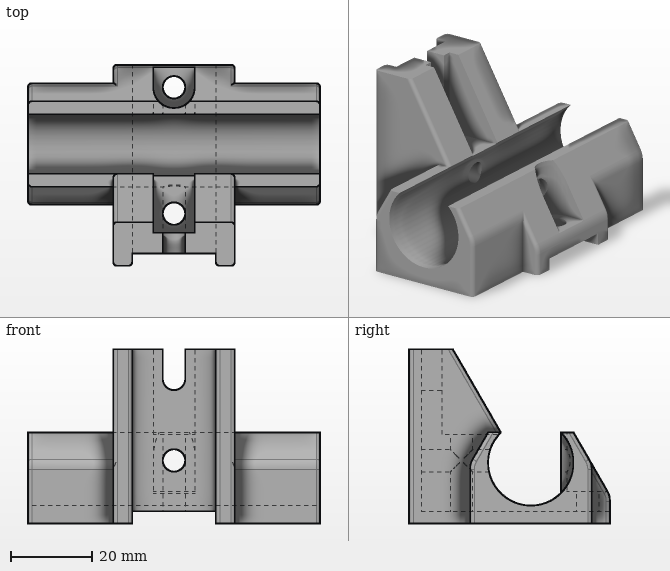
import cadquery as cq
import math

length = 72.0
front_y = -30.0
boss_back_y = 19.5
tower_width = 30.0
tower_top_z = 43.0
cradle_half_depth = 15.0
cradle_top_z = 22.5
shoulder_y = 10.5
slope = math.tan(math.radians(60))
corner_radius = 5.0
edge_radius = 1.0

bore_radius = 10.5
bore_z = 15.0
bore_lip_y = math.sqrt(bore_radius**2 - (cradle_top_z - bore_z)**2)

channel_width = 20.5
channel_depth = 3.0

hole_diameter = 5.5
cross_hole_z = 15.55
slot_center_z = 35.65
back_hole_y = 14.0
front_hole_y = -17.1

seat_width = 10.2
back_seat_z = 8.0
front_seat_z = 22.0
front_seat_y = -21.9


def extrude_along_x(points, width):
    """Extrude a (Y, Z) outline symmetrically about X = 0."""
    return cq.Workplane("YZ").polyline(points).close().extrude(width / 2, both=True)


def sloped_block(start_y, wall_y, width):
    """Block from start_y to wall_y, with the rear top corner cut to the common slope."""
    wall_top_z = cradle_top_z - (wall_y - shoulder_y) * slope
    block = extrude_along_x(
        [(start_y, 0), (wall_y, 0), (wall_y, wall_top_z), (shoulder_y, cradle_top_z), (start_y, cradle_top_z)],
        width,
    )
    wall_edge = cq.selectors.NearestToPointSelector((0, wall_y, wall_top_z))
    return block.edges("|X").edges(wall_edge).fillet(corner_radius)


def round_ends(block):
    """Round the vertical and sloping edges of the end faces, leaving top and bottom sharp."""
    return block.faces("<X or >X").edges("not |Y").fillet(edge_radius)


def box_between(x_size, y_range, z_range):
    """Box centred on X = 0 spanning the given Y and Z ranges."""
    return cq.Workplane("XY").box(
        x_size, y_range[1] - y_range[0], z_range[1] - z_range[0], centered=(True, False, False)
    ).translate((0, y_range[0], z_range[0]))


def hole_along_y(z):
    """Round cutter running the full depth of the part."""
    return (
        cq.Workplane("XZ", origin=(0, boss_back_y, z))
        .circle(hole_diameter / 2)
        .extrude(boss_back_y - front_y)
    )


def hole_along_z(y, diameter, bottom_z=0):
    """Round cutter from bottom_z to the top of the part."""
    return (
        cq.Workplane("XY", origin=(0, y, bottom_z))
        .circle(diameter / 2)
        .extrude(tower_top_z - bottom_z)
    )


cradle_half = sloped_block(0, cradle_half_depth, length)
cradle = round_ends(cradle_half.union(cradle_half.mirror("XZ")).clean())

boss = round_ends(sloped_block(0, boss_back_y, tower_width))

tower_top_y = -bore_lip_y - (tower_top_z - cradle_top_z) / slope
tower = round_ends(
    extrude_along_x(
        [
            (front_y, 0),
            (front_y, tower_top_z),
            (tower_top_y, tower_top_z),
            (-bore_lip_y, cradle_top_z),
            (-bore_lip_y, 0),
        ],
        tower_width,
    )
)

face_channel = box_between(channel_width, (front_y, front_y + channel_depth), (0, tower_top_z))
tower = tower.cut(face_channel)
for side in (-1, 1):
    lip_corner = (side * channel_width / 2, front_y, tower_top_z / 2)
    lip_edge = cq.selectors.NearestToPointSelector(lip_corner)
    tower = tower.edges("|Z").edges(lip_edge).fillet(edge_radius)
under_channel = box_between(channel_width, (front_y, boss_back_y), (0, channel_depth))

bore = cq.Workplane("YZ").center(0, bore_z).circle(bore_radius).extrude(length / 2, both=True)
bore_mouth = box_between(length, (-bore_lip_y, bore_lip_y), (bore_z, cradle_top_z))
pad = box_between(seat_width, (bore_lip_y, bore_radius), (channel_depth, cradle_top_z))
bore = bore.union(bore_mouth).cut(pad)

back_seat = hole_along_z(back_hole_y, seat_width, back_seat_z).union(
    box_between(seat_width, (back_hole_y, boss_back_y), (back_seat_z, tower_top_z))
)
front_seat = box_between(seat_width, (front_seat_y, 0), (front_seat_z, tower_top_z))

slot = hole_along_y(slot_center_z).union(
    box_between(hole_diameter, (front_y, 0), (slot_center_z, tower_top_z))
)

result = cradle.union(boss).union(tower)
cutters = [
    bore,
    under_channel,
    back_seat,
    front_seat,
    slot,
    hole_along_y(cross_hole_z),
    hole_along_z(back_hole_y, hole_diameter),
    hole_along_z(front_hole_y, hole_diameter),
]
for cutter in cutters:
    result = result.cut(cutter)